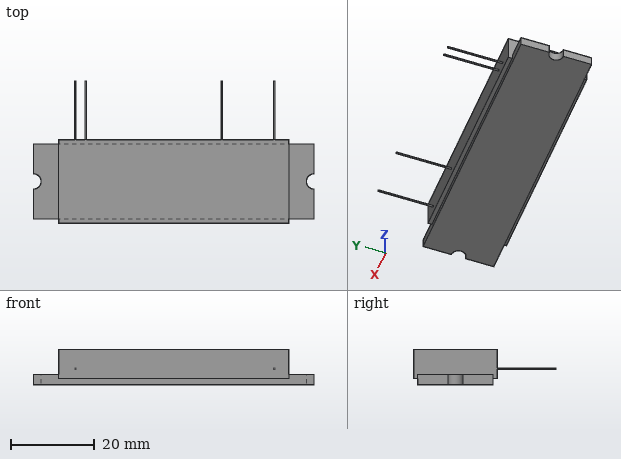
import cadquery as cq

flange_length = 67.0
flange_width = 18.0
flange_thickness = 2.5
notch_diameter = 3.6

cover_length = 55.0
cover_width = 20.0
cover_bottom = 1.5
cover_top = 8.5

lead_diameter = 0.4
lead_length = 14.0
lead_height = 3.9
lead_pitch = 2.5
lead_slots = [0, 1, 14, 19]
first_lead_x = -23.5
lead_embed = 1.0


def make_flange():
    plate = cq.Workplane("XY").box(
        flange_length, flange_width, flange_thickness, centered=(True, True, False)
    )
    notches = (
        cq.Workplane("XY")
        .pushPoints([(-flange_length / 2, 0), (flange_length / 2, 0)])
        .circle(notch_diameter / 2)
        .extrude(flange_thickness)
    )
    return plate.cut(notches)


def make_cover():
    return (
        cq.Workplane("XY")
        .workplane(offset=cover_bottom)
        .rect(cover_length, cover_width)
        .extrude(cover_top - cover_bottom)
    )


def make_lead(x):
    return (
        cq.Workplane("XZ", origin=(x, cover_width / 2 - lead_embed, lead_height))
        .circle(lead_diameter / 2)
        .extrude(-(lead_length + lead_embed))
    )


result = make_flange().union(make_cover())
for slot in lead_slots:
    result = result.union(make_lead(first_lead_x + slot * lead_pitch))